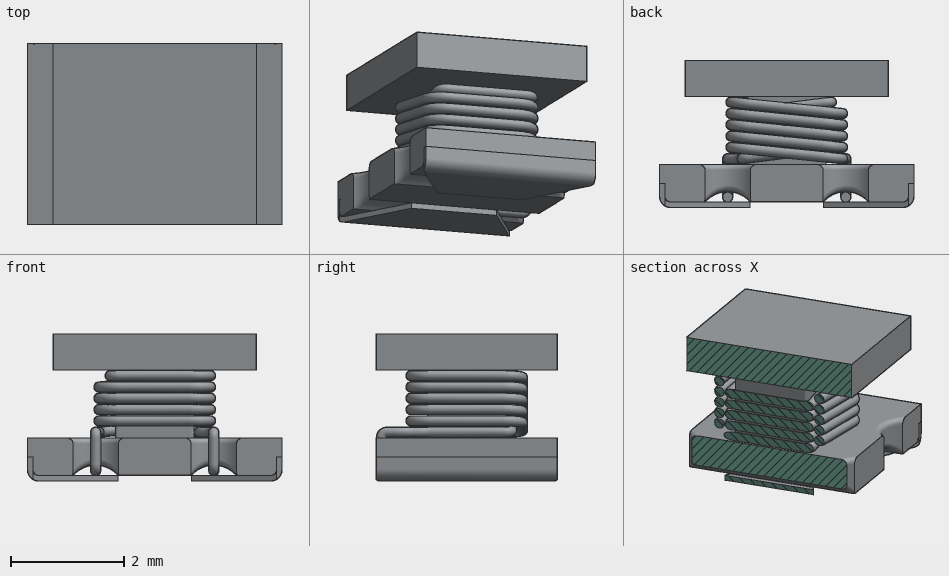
import cadquery as cq
import math

base_length = 4.5
base_width = 3.2
total_height = 2.6
base_top = 0.765
cap_length = 3.59
cap_thickness = 0.64
cap_bottom = total_height - cap_thickness

flat_half = 0.65
post_corner_radius = 0.05
post_half = flat_half + post_corner_radius

terminal_thickness = 0.1
terminal_height = 0.428
terminal_inner_radius = 0.1
terminal_outer_radius = terminal_inner_radius + terminal_thickness
terminal_taper_angle = 28.0

wire_diameter = 0.18
wire_radius = wire_diameter / 2
levels = 6
lowest_turn = 0.865
highest_turn = 1.865
turn_pitch = (highest_turn - lowest_turn) / (levels - 1)
inner_half = post_half + wire_radius
outer_half = 0.985
inner_corner_radius = inner_half - flat_half

lead_x = 1.045
lead_bend_radius = 0.1
lead_front_y = -base_width / 2 + wire_radius
lead_turn_y = lead_front_y + lead_bend_radius
lead_s_run = 0.59
solder_depth = 0.005
tail_z = terminal_thickness + wire_radius - solder_depth
tail_end_y = -flat_half

notch_width = 0.8
notch_depth = wire_diameter
notch_fillet = 0.1
notch_radius = ((notch_width / 2) ** 2 + notch_depth**2) / (2 * notch_depth)
notch_offset = notch_radius - notch_depth


def base_block():
    """Base with a step at each end that takes the terminal's upright wall."""
    step_length = base_length - 2 * terminal_thickness
    upper = (
        cq.Workplane("XY", origin=(0, 0, terminal_height))
        .rect(base_length, base_width)
        .extrude(base_top - terminal_height)
    )
    lower = (
        cq.Workplane("XY", origin=(0, 0, terminal_thickness))
        .rect(step_length, base_width)
        .extrude(base_top - terminal_thickness)
        .edges("|Y and <Z")
        .fillet(terminal_inner_radius)
    )
    return upper.union(lower)


def groove_cutter(x):
    """Lengthwise cylinder whose segment hollows the underside along Y."""
    return (
        cq.Workplane("XZ", origin=(x, base_width / 2, terminal_thickness - notch_offset))
        .circle(notch_radius)
        .extrude(base_width)
    )


def notch_cutter(x, side):
    """Upright cylinder whose segment bites into the front (-1) or rear (+1) of the base."""
    center_y = side * (base_width / 2 + notch_offset)
    return cq.Workplane("XY").center(x, center_y).circle(notch_radius).extrude(base_top)


def round_notch_rims(base, x, side):
    """Round the upper rim of a notch and its lower rim, where it meets the groove."""
    deepest_y = side * (base_width / 2 - notch_depth)
    for rim_z in (base_top, terminal_thickness + notch_depth):
        rim = cq.NearestToPointSelector((x, deepest_y, rim_z))
        base = base.edges(rim).fillet(notch_fillet)
    return base


def make_core():
    """Base, winding post and cap in one piece."""
    base = base_block()
    for x in (-lead_x, lead_x):
        base = base.cut(groove_cutter(x))
        for side in (-1, 1):
            base = base.cut(notch_cutter(x, side))
            base = round_notch_rims(base, x, side)
    post = (
        cq.Workplane("XY", origin=(0, 0, base_top))
        .rect(2 * post_half, 2 * post_half)
        .extrude(cap_bottom - base_top)
        .edges("|Z")
        .fillet(post_corner_radius)
    )
    cap = (
        cq.Workplane("XY", origin=(0, 0, cap_bottom))
        .rect(cap_length, base_width)
        .extrude(cap_thickness)
    )
    return base.union(post).union(cap)


def corner(center_x, center_y, radius, start_degrees, z):
    """Quarter-circle corner, counterclockwise from start_degrees."""
    angles = [math.radians(start_degrees + step) for step in (0, 45, 90)]
    return tuple((center_x + radius * math.cos(a), center_y + radius * math.sin(a), z) for a in angles)


def s_bend(run, shift):
    """(forward, sideways) points of two mirrored tangent arcs: ends, middle and a point on each arc."""
    arc_angle = 2 * math.atan(shift / run)
    radius = run / (2 * math.sin(arc_angle))
    forward = radius * math.sin(arc_angle / 2)
    sideways = radius * (1 - math.cos(arc_angle / 2))
    return [(0, 0), (forward, sideways), (run / 2, shift / 2), (run - forward, shift - sideways), (run, shift)]


def rear_side(half, z_start, z_end):
    """Rear side of one turn with its two corners, all in one plane tilted to reach the next level."""
    radius = half - flat_half
    tilt = math.atan2(z_end - z_start, 2 * half)

    def corner_points(end_x, end_z, sign):
        """Tilted corner between a left or right side end and the rear run, from the side end inward."""
        points = []
        for degrees in (0, 45, 90):
            angle = math.radians(degrees)
            inward = radius * (1 - math.cos(angle))
            x = end_x - sign * inward * math.cos(tilt)
            z = end_z + sign * inward * math.sin(tilt)
            points.append((x, flat_half + radius * math.sin(angle), z))
        return tuple(points)

    right = corner_points(half, z_start, 1)
    left = corner_points(-half, z_end, -1)[::-1]
    return [right, (right[-1], left[0]), left]


def three_sides(half, z_start, z_end):
    """Right, rear and left sides of one turn, with the level change at the rear."""
    return [
        ((half, -flat_half, z_start), (half, flat_half, z_start)),
        *rear_side(half, z_start, z_end),
        ((-half, flat_half, z_end), (-half, -flat_half, z_end)),
    ]


def front_side(half, z):
    """Front side of one turn with its two corners."""
    radius = half - flat_half
    return [
        corner(-flat_half, -flat_half, radius, 180, z),
        ((-flat_half, -half, z), (flat_half, -half, z)),
        corner(flat_half, -flat_half, radius, 270, z),
    ]


def layer_change(z):
    """From the left side of the inner layer to the front side of the outer layer."""
    center_y = -outer_half + inner_corner_radius
    return [
        ((-inner_half, -flat_half, z), (-inner_half, center_y, z)),
        corner(-flat_half, center_y, inner_corner_radius, 180, z),
        ((-flat_half, -outer_half, z), (flat_half, -outer_half, z)),
        corner(flat_half, -flat_half, outer_half - flat_half, 270, z),
    ]


def lead(start_half, side):
    """Lead from the lowest turn: an S-bend to the notch, down through it and inward under the base."""
    x = side * lead_x
    z = lowest_turn
    bend = lead_bend_radius
    mid_drop = bend * (1 - math.sqrt(0.5))
    mid_y = lead_front_y + mid_drop
    offsets = s_bend(lead_s_run, lead_x - start_half)
    s_points = [(side * (start_half + s), -flat_half - f, z) for f, s in offsets]
    turned = (x, lead_turn_y, z)
    top = (x, lead_front_y, z - bend)
    bottom = (x, lead_front_y, tail_z + bend)
    inward = (x, lead_turn_y, tail_z)
    return [
        tuple(s_points[:3]),
        tuple(s_points[2:]),
        (s_points[-1], turned),
        (turned, (x, mid_y, z - mid_drop), top),
        (top, bottom),
        (bottom, (x, mid_y, tail_z + mid_drop), inward),
        (inward, (x, tail_end_y, tail_z)),
    ]


def layer(half, heights):
    """Turns of one layer through all the given levels, ending on the left side at the last level."""
    path = []
    for z, next_z in zip(heights, heights[1:]):
        path += three_sides(half, z, next_z)
        if next_z != heights[-1]:
            path += front_side(half, next_z)
    return path


def winding_path():
    """Right lead, inner layer going up, outer layer coming down, left lead."""
    rising = [lowest_turn + turn_pitch * level for level in range(levels)]
    first_lead = [segment[::-1] for segment in reversed(lead(inner_half, 1))]
    return (
        first_lead
        + layer(inner_half, rising)
        + layer_change(rising[-1])
        + layer(outer_half, rising[::-1])
        + lead(outer_half, -1)
    )


def make_edge(segment):
    """Straight or arc edge through the points of a segment."""
    points = [cq.Vector(*p) for p in segment]
    if len(points) == 2:
        return cq.Edge.makeLine(*points)
    return cq.Edge.makeThreePointArc(*points)


def make_winding():
    """Round wire swept along the whole winding path."""
    wire = cq.Wire.assembleEdges([make_edge(segment) for segment in winding_path()])
    start = (lead_x, tail_end_y, tail_z)
    profile = cq.Workplane("XZ", origin=start).circle(wire_radius)
    return profile.sweep(cq.Workplane(obj=wire))


def make_terminal(side):
    """L-shaped terminal: upright end wall and a foot that tapers in plan toward the middle."""
    outer_x = base_length / 2
    wall_x = outer_x - terminal_thickness
    inset = (wall_x - flat_half) * math.tan(math.radians(terminal_taper_angle))
    half_width = base_width / 2
    profile = (
        cq.Workplane("XZ", origin=(0, half_width, 0))
        .moveTo(flat_half, 0)
        .lineTo(outer_x - terminal_outer_radius, 0)
        .radiusArc((outer_x, terminal_outer_radius), -terminal_outer_radius)
        .lineTo(outer_x, terminal_height)
        .lineTo(wall_x, terminal_height)
        .lineTo(wall_x, terminal_outer_radius)
        .radiusArc((outer_x - terminal_outer_radius, terminal_thickness), terminal_inner_radius)
        .lineTo(flat_half, terminal_thickness)
        .close()
        .extrude(base_width)
    )
    plan = (
        cq.Workplane("XY")
        .polyline([
            (outer_x, -half_width),
            (outer_x, half_width),
            (wall_x, half_width),
            (flat_half, half_width - inset),
            (flat_half, -half_width + inset),
            (wall_x, -half_width),
        ])
        .close()
        .extrude(terminal_height)
    )
    terminal = profile.intersect(plan)
    return terminal if side > 0 else terminal.mirror("YZ")


def make_conductor():
    """Winding with a terminal joined to each of its ends."""
    conductor = make_winding()
    for side in (-1, 1):
        conductor = conductor.union(make_terminal(side))
    return conductor


core = make_core()
conductor = make_conductor()

result = cq.Compound.makeCompound([core.solids().val(), conductor.solids().val()])